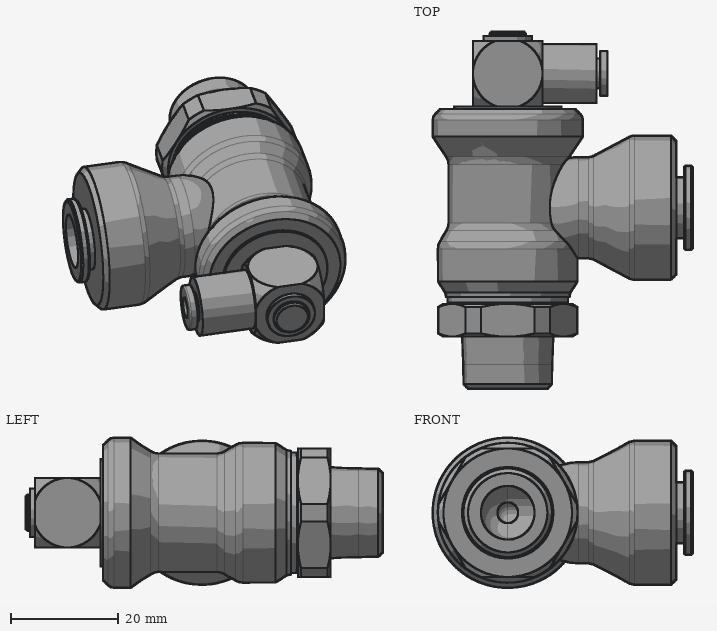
import cadquery as cq
import math


TOTAL_LENGTH = 66.55
TOTAL_WIDTH = 48.5
FLANGE_DIAMETER = 28.0

BORE_RADIUS = 5.0
PILOT_RADIUS = 1.9
THREAD_START_RADIUS = 8.25
THREAD_BASE_RADIUS = 8.5
THREAD_CHAMFER = 0.85
THREAD_TIP_RADIUS = THREAD_START_RADIUS - THREAD_CHAMFER
THREAD_GAUGE_RADIUS = 8.3
THREAD_GAUGE_Y = 4.5
NUT_BOTTOM = 9.7
NUT_TOP = 15.85
NUT_FLATS = 23.95
NUT_CORNER_RADIUS = 13.0
NUT_FACE_RADIUS = NUT_FLATS / 2
NUT_CHAMFER = 0.6
WASHER_RADIUS = 10.65
WASHER_TOP = 16.05
SPIGOT_RADIUS = 11.25
SPIGOT_TOP = 17.1
LIP_RADIUS = 11.5
CONE_SMALL_RADIUS = 11.7
CONE_BOTTOM = 18.0
COLLAR_RADIUS = 13.05
COLLAR_BOTTOM = 20.0
COLLAR_TOP = 26.8
NECK_RADIUS = 11.05
NECK_BOTTOM = 30.15
NECK_TOP = 42.6
FLANGE_RADIUS = FLANGE_DIAMETER / 2
FLANGE_BOTTOM = 47.0
FLANGE_TOP = 52.2
FLANGE_CHAMFER = 1.45
FLANGE_ROUND = 1.6
BODY_ROUND = 2.65
PAD_RADIUS = 10.0
PAD_TOP = 52.65

BRANCH_Y = 33.75
BRANCH_RADIUS = 9.45
BRANCH_DOME_X = 13.2
BRANCH_CONE_START = 15.6
SOCKET_RADIUS = 13.45
SOCKET_START = 23.1
SOCKET_END = 31.4
SOCKET_CHAMFER = 1.0
BRANCH_ROUND = 2.0
SOCKET_ROUND = 2.0
SLEEVE_RADIUS = 5.7
SLEEVE_END = 32.8
RELEASE_RADIUS = 7.85
BRANCH_END = TOTAL_WIDTH - FLANGE_RADIUS
RELEASE_CHAMFER = 0.3

ELBOW_Y = 58.75
ELBOW_SIDE = 13.0
ELBOW_TOP = 64.8
CAP_RADIUS = 4.5
CAP_TOP = 65.75
BUTTON_RADIUS = 3.4
BUTTON_CHAMFER = 0.4
PORT_RADIUS = 5.5
PORT_END = 16.6
PORT_SLEEVE_RADIUS = 2.8
PORT_SLEEVE_END = 17.2
PORT_RELEASE_RADIUS = 4.2
PORT_RELEASE_END = 18.65
PORT_RELEASE_ROUND = 0.25


def turned_on_y(profile):
    """Solid of revolution about Y from (radius, y) points, closed on the axis."""
    axis_points = [(0, profile[-1][1]), (0, profile[0][1])]
    outline = cq.Workplane("XY").polyline(profile + axis_points).close()
    return outline.revolve(360, (0, 0), (0, 1))


def rod_along_x(radius, start, end, y):
    return cq.Workplane("YZ", origin=(start, y, 0)).circle(radius).extrude(end - start)


def ball(radius, x, y):
    return cq.Workplane("XY", origin=(x, y, 0)).sphere(radius)


def round_ring(solid, center, size):
    """Fillet the circular edge centred at the given point."""
    gap = 0.03
    low = tuple(c - gap for c in center)
    high = tuple(c + gap for c in center)
    return solid.edges(cq.selectors.BoxSelector(low, high)).fillet(size)


def run_body():
    body = turned_on_y([
        (THREAD_TIP_RADIUS, 0),
        (THREAD_START_RADIUS, THREAD_CHAMFER),
        (THREAD_GAUGE_RADIUS, THREAD_GAUGE_Y),
        (THREAD_BASE_RADIUS, NUT_BOTTOM),
        (WASHER_RADIUS, NUT_BOTTOM),
        (WASHER_RADIUS, WASHER_TOP),
        (SPIGOT_RADIUS, WASHER_TOP),
        (SPIGOT_RADIUS, SPIGOT_TOP),
        (LIP_RADIUS, SPIGOT_TOP),
        (CONE_SMALL_RADIUS, CONE_BOTTOM),
        (COLLAR_RADIUS, COLLAR_BOTTOM),
        (COLLAR_RADIUS, COLLAR_TOP),
        (NECK_RADIUS, NECK_BOTTOM),
        (NECK_RADIUS, NECK_TOP),
        (FLANGE_RADIUS, FLANGE_BOTTOM),
        (FLANGE_RADIUS, FLANGE_TOP - FLANGE_CHAMFER),
        (FLANGE_RADIUS - FLANGE_CHAMFER, FLANGE_TOP),
        (PAD_RADIUS, FLANGE_TOP),
        (PAD_RADIUS, PAD_TOP),
    ])
    for y in (COLLAR_TOP, NECK_BOTTOM, NECK_TOP):
        body = round_ring(body, (0, y, 0), BODY_ROUND)
    return round_ring(body, (0, FLANGE_TOP - FLANGE_CHAMFER, 0), FLANGE_ROUND)


def hex_nut():
    across_corners = NUT_FLATS / math.cos(math.pi / 6)
    height = NUT_TOP - NUT_BOTTOM
    prism = cq.Workplane("XZ", origin=(0, NUT_TOP, 0)).polygon(6, across_corners).extrude(height)
    envelope = turned_on_y([
        (NUT_FACE_RADIUS, NUT_BOTTOM),
        (NUT_CORNER_RADIUS, NUT_BOTTOM + NUT_CHAMFER),
        (NUT_CORNER_RADIUS, NUT_TOP - NUT_CHAMFER),
        (NUT_FACE_RADIUS, NUT_TOP),
    ])
    return prism.intersect(envelope)


def branch():
    profile = [
        (BRANCH_DOME_X, 0),
        (BRANCH_DOME_X, BRANCH_RADIUS),
        (BRANCH_CONE_START, BRANCH_RADIUS),
        (SOCKET_START, SOCKET_RADIUS),
        (SOCKET_END - SOCKET_CHAMFER, SOCKET_RADIUS),
        (SOCKET_END, SOCKET_RADIUS - SOCKET_CHAMFER),
        (SOCKET_END, SLEEVE_RADIUS),
        (SLEEVE_END, SLEEVE_RADIUS),
        (SLEEVE_END, RELEASE_RADIUS - RELEASE_CHAMFER),
        (SLEEVE_END + RELEASE_CHAMFER, RELEASE_RADIUS),
        (BRANCH_END - RELEASE_CHAMFER, RELEASE_RADIUS),
        (BRANCH_END, RELEASE_RADIUS - RELEASE_CHAMFER),
        (BRANCH_END, 0),
    ]
    outline = cq.Workplane("XY", origin=(0, BRANCH_Y, 0)).polyline(profile).close()
    socket = outline.revolve(360, (0, 0), (1, 0))
    socket = round_ring(socket, (BRANCH_CONE_START, BRANCH_Y, 0), BRANCH_ROUND)
    socket = round_ring(socket, (SOCKET_START, BRANCH_Y, 0), SOCKET_ROUND)
    return socket.union(ball(BRANCH_RADIUS, BRANCH_DOME_X, BRANCH_Y))


def elbow():
    height = ELBOW_TOP - FLANGE_TOP
    middle = (ELBOW_TOP + FLANGE_TOP) / 2
    cube = cq.Workplane("XY", origin=(0, middle, 0)).box(ELBOW_SIDE, height, ELBOW_SIDE)
    block = cube.intersect(ball(ELBOW_SIDE / math.sqrt(2), 0, ELBOW_Y))
    cap = turned_on_y([
        (CAP_RADIUS, ELBOW_Y),
        (CAP_RADIUS, CAP_TOP),
        (BUTTON_RADIUS, CAP_TOP),
        (BUTTON_RADIUS, TOTAL_LENGTH - BUTTON_CHAMFER),
        (BUTTON_RADIUS - BUTTON_CHAMFER, TOTAL_LENGTH),
    ])
    port = rod_along_x(PORT_RADIUS, 0, PORT_END, ELBOW_Y)
    sleeve = rod_along_x(PORT_SLEEVE_RADIUS, 0, PORT_SLEEVE_END, ELBOW_Y)
    release = rod_along_x(PORT_RELEASE_RADIUS, PORT_SLEEVE_END, PORT_RELEASE_END, ELBOW_Y)
    release = release.edges("%CIRCLE").fillet(PORT_RELEASE_ROUND)
    return block.union(cap).union(port).union(sleeve).union(release)


def bent_passage(radius, bend_y, outlet_x):
    """Hole from the thread tip up to bend_y, then out along +X, with a ball-shaped bend."""
    rise = turned_on_y([(radius, 0), (radius, bend_y)])
    outlet = rod_along_x(radius, 0, outlet_x, bend_y)
    return rise.union(outlet).union(ball(radius, 0, bend_y))


result = run_body().union(hex_nut()).union(branch()).union(elbow())
result = result.cut(bent_passage(BORE_RADIUS, BRANCH_Y, BRANCH_END))
result = result.cut(bent_passage(PILOT_RADIUS, ELBOW_Y, PORT_RELEASE_END))